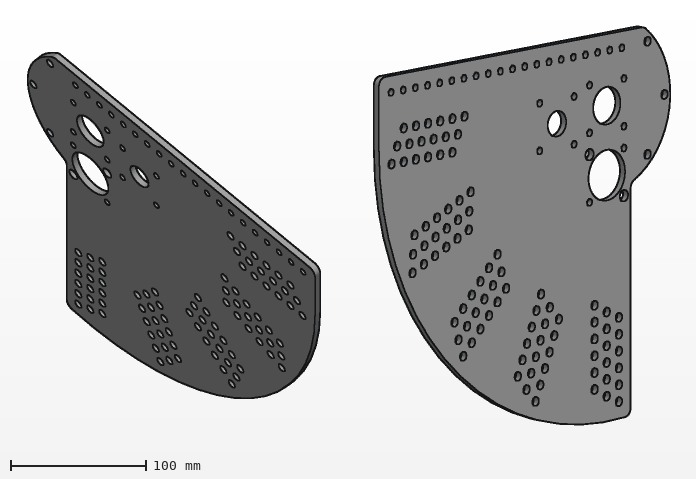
import cadquery as cq
import math

thickness = 5.5
sector_radius = 238.2
plate_width = 304.7
plate_height = 292.2
hub_radius = plate_width - sector_radius
top_edge = plate_height - sector_radius
left_edge = -25.0
corner_radius = 6.5

row_count = 20
row_length = 241.3
pitch = row_length / (row_count - 1)
row_start_x = -15.8
row_z = 41.5
small_hole = 5.2

cluster_angles = [0, -22.5, -45, -67.5, -90]
cluster_columns = 6
cluster_start = 148.7
middle_row_shift = 0.52
cluster_row_starts = [
    cluster_start,
    cluster_start + pitch / 2 + middle_row_shift,
    cluster_start + pitch,
]
cluster_hole = 6.7

hub_hole_circle = 60.3
hub_hole_angles = [135, 180, 225]
hub_hole = 6.7

bolt_offset = 18.0
pivot_bore = 28.3
lower_bore = 38.0
lower_bore_z = -52.5
side_bore = 19.2
side_bore_x = 52.0
side_bore_z = -pitch / 2
large_mount_hole = 8.5


def drill(plate, points, diameter):
    """Cut round holes through the plate at (x, z) points."""
    holes = cq.Workplane("XZ").pushPoints(points).circle(diameter / 2).extrude(thickness)
    return plate.cut(holes)


def rotated(x, z, degrees):
    """Turn a point about the pivot."""
    angle = math.radians(degrees)
    return (
        x * math.cos(angle) - z * math.sin(angle),
        x * math.sin(angle) + z * math.cos(angle),
    )


def mount_square(x, z):
    """Corners of a mounting square: upper left, lower right, upper right, lower left."""
    corners = [(-1, 1), (1, -1), (1, 1), (-1, -1)]
    return [(x + side * bolt_offset, z + level * bolt_offset) for side, level in corners]


def make_plate():
    """Quarter sector with a round hub overhanging its left edge, corners rounded."""
    hub_top = (-math.sqrt(hub_radius**2 - top_edge**2), top_edge)
    right_corner = (sector_radius, top_edge)
    sector_foot = (left_edge, -math.sqrt(sector_radius**2 - left_edge**2))
    notch = (left_edge, -math.sqrt(hub_radius**2 - left_edge**2))
    blank = (
        cq.Workplane("XZ")
        .moveTo(*hub_top)
        .lineTo(*right_corner)
        .lineTo(sector_radius, 0)
        .threePointArc(rotated(sector_radius, 0, -45), sector_foot)
        .lineTo(*notch)
        .threePointArc((-hub_radius, 0), hub_top)
        .close()
        .extrude(thickness)
    )
    for x, z in [hub_top, right_corner, sector_foot, notch]:
        corner = cq.selectors.NearestToPointSelector((x, -thickness / 2, z))
        blank = blank.edges("|Y").edges(corner).fillet(corner_radius)
    return blank


plate = make_plate()

plate = drill(plate, [(row_start_x + i * pitch, row_z) for i in range(row_count)], small_hole)

cluster = [
    (row_start + column * pitch, (1 - row) * pitch)
    for row, row_start in enumerate(cluster_row_starts)
    for column in range(cluster_columns)
]
for angle in cluster_angles:
    plate = drill(plate, [rotated(x, z, angle) for x, z in cluster], cluster_hole)

plate = drill(plate, [rotated(hub_hole_circle, 0, angle) for angle in hub_hole_angles], hub_hole)

plate = drill(plate, [(0, 0)], pivot_bore)
plate = drill(plate, mount_square(0, 0), small_hole)
plate = drill(plate, [(side_bore_x, side_bore_z)], side_bore)
plate = drill(plate, mount_square(side_bore_x, side_bore_z), small_hole)
lower_mounts = mount_square(0, lower_bore_z)
plate = drill(plate, [(0, lower_bore_z)], lower_bore)
plate = drill(plate, lower_mounts[:2], small_hole)
plate = drill(plate, lower_mounts[2:], large_mount_hole)

result = plate